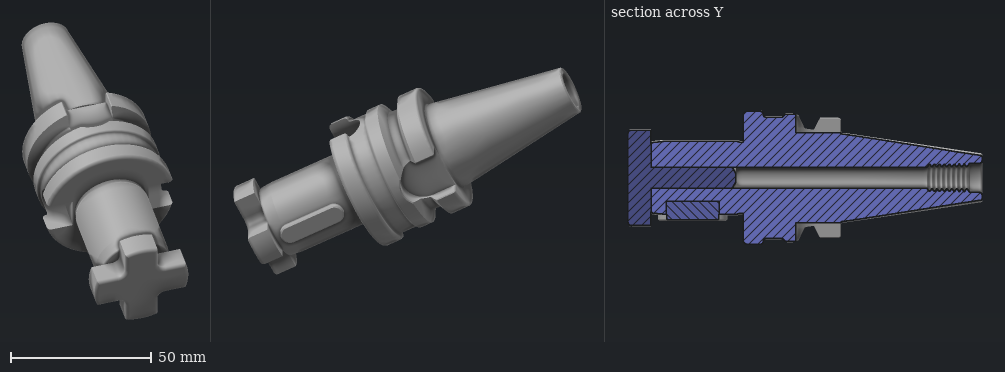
import cadquery as cq
import math

overall_length = 126.4

taper_end_radius = 8.7
taper_end_chamfer = 0.4
taper_large_radius = 15.9
taper_length = 48.7

flange_start = 50.3
flange_radius = 23.0
flange_fillet = 1.0
collar_fillet = 0.6
groove_start = 57.8
groove_floor_start = 60.0
groove_floor_end = 63.3
groove_radius = 19.0
groove_end = groove_floor_end + (groove_floor_start - groove_start)
groove_corner_fillet = 0.5

shoulder_end = 70.0
shoulder_blend_length = 1.5
relief_radius = 22.0
relief_fillet = 0.8

ring_start = 78.0
ring_end = 85.3
ring_radius = 24.0
ring_back_fillet = 1.1
ring_front_fillet = 1.5

pilot_radius = 13.5
pilot_neck_radius = 13.1
neck_end = 86.3
pilot_start = 87.5
pilot_lead_start = 113.3
pilot_lead_radius = 13.1
pilot_end = 118.0
pilot_end_fillet = 0.8

bore_mouth_radius = 7.1
bore_entry_radius = 6.2
bore_entry_depth = 4.4
bore_radius = 5.0

thread_radius = 6.0
thread_pitch = 1.8
thread_turns = 8

gripper_slot_width = 16.2
gripper_slot_end = 67.1
gripper_slot_floor = 16.2
gripper_slot_chamfer = 0.4

drive_slot_width = 11.9
drive_slot_start = 73.0
drive_slot_floor = 14.0

key_start = 90.9
key_length = 24.6
key_width = 7.0
key_height = key_width
key_outer_face = 15.4
key_chamfer = 0.5

head_thickness = overall_length - pilot_end
head_radius = 17.5
head_arm_width = 11.9
head_inner_fillet = 2.9
head_edge_fillet = 1.4
shank_length = 30.3
shank_tip_radius = 3.7

pick_margin = 0.1


def revolve_about_x(profile):
    """Turn a closed profile, drawn as (x, radius), about the X axis."""
    return profile.close().revolve(360, (0, 0, 0), (1, 0, 0))


def arbor_blank():
    """Turned outside of the arbor, from the taper to the pilot."""
    blend_middle = (
        shoulder_end + shoulder_blend_length / 2,
        (flange_radius + relief_radius) / 2,
    )
    profile = (
        cq.Workplane("XZ")
        .moveTo(0, 0)
        .lineTo(0, taper_end_radius - taper_end_chamfer)
        .lineTo(taper_end_chamfer, taper_end_radius)
        .lineTo(taper_length, taper_large_radius)
        .lineTo(flange_start - collar_fillet, taper_large_radius)
        .radiusArc((flange_start, taper_large_radius + collar_fillet), -collar_fillet)
        .lineTo(flange_start, flange_radius - flange_fillet)
        .radiusArc((flange_start + flange_fillet, flange_radius), flange_fillet)
        .lineTo(groove_start, flange_radius)
        .lineTo(groove_floor_start, groove_radius)
        .lineTo(groove_floor_end, groove_radius)
        .lineTo(groove_end, flange_radius)
        .lineTo(shoulder_end, flange_radius)
        .tangentArcPoint(blend_middle, relative=False)
        .tangentArcPoint((shoulder_end + shoulder_blend_length, relief_radius), relative=False)
        .lineTo(ring_start - relief_fillet, relief_radius)
        .radiusArc((ring_start, relief_radius + relief_fillet), -relief_fillet)
        .lineTo(ring_start, ring_radius - ring_back_fillet)
        .radiusArc((ring_start + ring_back_fillet, ring_radius), ring_back_fillet)
        .lineTo(ring_end - ring_front_fillet, ring_radius)
        .radiusArc((ring_end, ring_radius - ring_front_fillet), ring_front_fillet)
        .lineTo(ring_end, pilot_neck_radius)
        .lineTo(neck_end, pilot_neck_radius)
        .lineTo(pilot_start, pilot_radius)
        .lineTo(pilot_lead_start, pilot_radius)
        .lineTo(pilot_end - pilot_end_fillet, pilot_lead_radius)
        .radiusArc((pilot_end, pilot_lead_radius - pilot_end_fillet), pilot_end_fillet)
        .lineTo(pilot_end, 0)
    )
    blank = revolve_about_x(profile)
    pick_radius = groove_radius + pick_margin
    groove_corners = cq.selectors.BoxSelector(
        (groove_floor_start - pick_margin, -pick_radius, -pick_radius),
        (groove_floor_end + pick_margin, pick_radius, pick_radius),
        boundingbox=True,
    )
    return blank.edges(groove_corners).edges("%CIRCLE").fillet(groove_corner_fillet)


def arbor_bore():
    """Bore with a rounded mouth, a wider entry, a threaded stretch and the screw's hole."""
    mouth_fillet = bore_mouth_radius - bore_entry_radius
    thread_start = bore_entry_depth + bore_entry_radius - bore_radius
    profile = (
        cq.Workplane("XZ")
        .moveTo(0, 0)
        .lineTo(0, bore_mouth_radius)
        .radiusArc((mouth_fillet, bore_entry_radius), -mouth_fillet)
        .lineTo(bore_entry_depth, bore_entry_radius)
        .lineTo(thread_start, bore_radius)
    )
    for turn in range(thread_turns):
        groove_x = thread_start + turn * thread_pitch
        profile = (
            profile.lineTo(groove_x + thread_pitch / 2, thread_radius)
            .lineTo(groove_x + thread_pitch, bore_radius)
        )
    profile = profile.lineTo(pilot_end, bore_radius).lineTo(pilot_end, 0)
    return revolve_about_x(profile)


def gripper_slot():
    """Round-ended cutter for the +Z gripper slot, flared at the flange's back face."""
    slot_height = ring_radius - gripper_slot_floor
    half_width = gripper_slot_width / 2
    straight_end = gripper_slot_end - half_width
    slot = (
        cq.Workplane("XY", origin=(0, 0, gripper_slot_floor))
        .moveTo(flange_start, -half_width)
        .lineTo(straight_end, -half_width)
        .threePointArc((gripper_slot_end, 0), (straight_end, half_width))
        .lineTo(flange_start, half_width)
        .close()
        .extrude(slot_height)
    )
    mouth_middle = gripper_slot_floor + slot_height / 2
    flare = 2 * gripper_slot_chamfer
    mouth_chamfer = (
        cq.Workplane("YZ", origin=(flange_start, 0, mouth_middle))
        .rect(gripper_slot_width + flare, slot_height + flare)
        .workplane(offset=gripper_slot_chamfer)
        .rect(gripper_slot_width, slot_height)
        .loft()
    )
    return slot.union(mouth_chamfer)


def gripper_slot_rims(side):
    """Select a gripper slot's edges on the flange's outer cylinder, above (+1) or below (-1)."""
    half_width = gripper_slot_width / 2
    rim_height = math.sqrt(flange_radius**2 - half_width**2)
    pick_half_width = half_width + pick_margin
    heights = sorted((side * (rim_height - pick_margin), side * (flange_radius + pick_margin)))
    return cq.selectors.BoxSelector(
        (flange_start + flange_fillet - pick_margin, -pick_half_width, heights[0]),
        (gripper_slot_end + pick_margin, pick_half_width, heights[1]),
        boundingbox=True,
    )


def drive_slot():
    """Round-ended cutter for the -Y drive slot, open through the ring's front face."""
    half_width = drive_slot_width / 2
    arc_center = drive_slot_start + half_width
    return (
        cq.Workplane("XZ", origin=(0, -drive_slot_floor, 0))
        .moveTo(ring_end, -half_width)
        .lineTo(arc_center, -half_width)
        .threePointArc((drive_slot_start, 0), (arc_center, half_width))
        .lineTo(ring_end, half_width)
        .close()
        .extrude(ring_radius - drive_slot_floor)
    )


def make_key():
    """Round-ended feather key on the underside of the pilot."""
    return (
        cq.Workplane("XY", origin=(key_start + key_length / 2, 0, -key_outer_face))
        .slot2D(key_length, key_width)
        .extrude(key_height)
        .faces("<Z")
        .edges()
        .chamfer(key_chamfer)
    )


def make_screw():
    """Retaining screw: cross-shaped head against the pilot's end and a shank in the bore."""
    head_plane = cq.Workplane("YZ", origin=(pilot_end, 0, 0))
    arm_span = 2 * head_radius
    cross = (
        head_plane.rect(arm_span, head_arm_width)
        .extrude(head_thickness)
        .union(head_plane.rect(head_arm_width, arm_span).extrude(head_thickness))
    )
    inner_half = head_arm_width / 2 + head_inner_fillet
    inner_corners = cq.selectors.BoxSelector(
        (pilot_end, -inner_half, -inner_half),
        (pilot_end + head_thickness, inner_half, inner_half),
    )
    head = (
        cross.edges("|X")
        .edges(inner_corners)
        .fillet(head_inner_fillet)
        .intersect(head_plane.circle(head_radius).extrude(head_thickness))
        .faces(">X")
        .edges()
        .fillet(head_edge_fillet)
    )
    shank = (
        cq.Workplane("YZ", origin=(pilot_end - shank_length, 0, 0))
        .circle(bore_radius)
        .extrude(shank_length)
        .faces("<X")
        .chamfer(bore_radius - shank_tip_radius)
    )
    return head.union(shank)


def make_arbor(key):
    """Turned arbor with its bore, gripper slots, drive slots and keyway."""
    arbor = arbor_blank().cut(arbor_bore())
    for angle in (0, 180):
        arbor = arbor.cut(gripper_slot().rotate((0, 0, 0), (1, 0, 0), angle))
        arbor = arbor.cut(drive_slot().rotate((0, 0, 0), (1, 0, 0), angle))
    for side in (-1, 1):
        arbor = arbor.edges(gripper_slot_rims(side)).chamfer(gripper_slot_chamfer)
    return arbor.cut(key)


key = make_key()
screw = make_screw()
arbor = make_arbor(key)

result = cq.Compound.makeCompound([arbor.val(), key.val(), screw.val()])